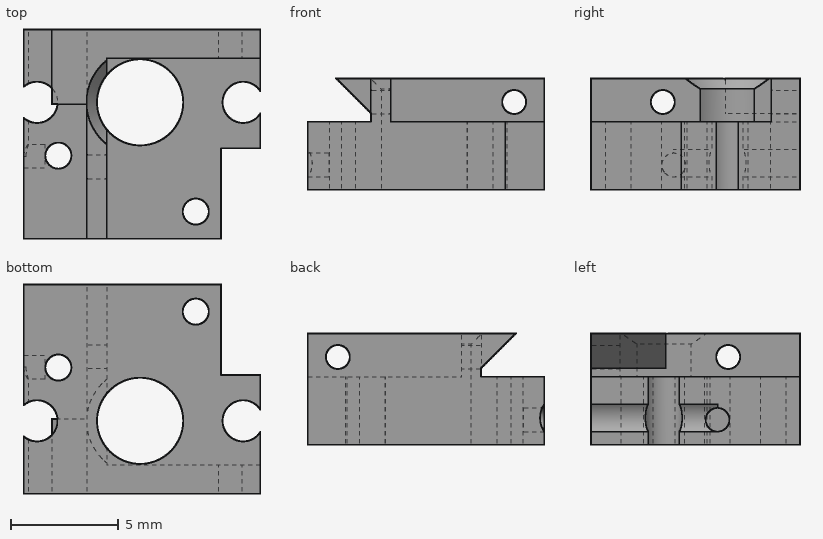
import cadquery as cq
import math

length = 11.03
width = 9.75
height = 5.2
base_height = 3.18

rib_x = 2.95
rib_thickness = 0.93
rear_wall_thickness = 1.35
wedge_reach = 1.62
wedge_front_y = 6.27

notch_x = 9.2
notch_y = 4.21

bore_y = 6.35
main_bore_x = 5.43
main_bore_diameter = 4.0
countersink_width = 0.5
side_bore_diameter = 1.91
side_bore_positions = [0.63, 10.22]
pin_hole_diameter = 1.2
pin_hole_positions = [(1.62, 3.87), (8.02, 1.27)]

cross_hole_diameter = 1.1
cross_hole_z = 4.09
rib_hole_y = 3.35
rear_wall_hole_x = 9.62
blind_hole_y = 3.85
blind_hole_z = 1.17
blind_hole_depth = 0.99

groove_radius = 1.1
groove_opening = 1.29
groove_z = 1.26
groove_start_y = 3.84


def box(x0, y0, z0, x1, y1, z1):
    """Box between two opposite corners."""
    return cq.Workplane("XY").box(x1 - x0, y1 - y0, z1 - z0, centered=False).translate((x0, y0, z0))


def rod(start, direction, diameter, depth):
    """Cylinder from a start point along a direction."""
    solid = cq.Solid.makeCylinder(diameter / 2, depth, cq.Vector(*start), cq.Vector(*direction))
    return cq.Workplane(obj=solid)


def vertical_bore(x, y, diameter):
    """Cutter that runs through the full height."""
    return rod((x, y, 0), (0, 0, 1), diameter, height)


def wedge():
    """Triangular overhang on the -X side of the rib, sloping at 45 degrees."""
    profile = [(rib_x, height), (rib_x - wedge_reach, height), (rib_x, height - wedge_reach)]
    return (
        cq.Workplane("XZ", origin=(0, width, 0))
        .polyline(profile)
        .close()
        .extrude(width - wedge_front_y)
    )


def countersink():
    """45-degree cone where the main bore breaks through the top of the rib."""
    bore_radius = main_bore_diameter / 2
    cone = cq.Solid.makeCone(
        bore_radius,
        bore_radius + countersink_width,
        countersink_width,
        cq.Vector(main_bore_x, bore_y, height - countersink_width),
    )
    return cq.Workplane(obj=cone)


body = box(0, 0, 0, length, width, base_height)
body = body.cut(box(notch_x, 0, 0, length, notch_y, base_height))

body = body.union(box(rib_x, 0, base_height, rib_x + rib_thickness, width, height))
body = body.cut(countersink())

body = body.union(box(rib_x, width - rear_wall_thickness, base_height, length, width, height))
body = body.union(wedge())

body = body.cut(vertical_bore(main_bore_x, bore_y, main_bore_diameter))

for x in side_bore_positions:
    body = body.cut(rod((x, bore_y, 0), (0, 0, 1), side_bore_diameter, base_height))

for x, y in pin_hole_positions:
    body = body.cut(vertical_bore(x, y, pin_hole_diameter))

body = body.cut(rod((rib_x, rib_hole_y, cross_hole_z), (1, 0, 0), cross_hole_diameter, rib_thickness))
body = body.cut(
    rod(
        (rear_wall_hole_x, width - rear_wall_thickness, cross_hole_z),
        (0, 1, 0),
        cross_hole_diameter,
        rear_wall_thickness,
    )
)
body = body.cut(rod((0, blind_hole_y, blind_hole_z), (1, 0, 0), cross_hole_diameter, blind_hole_depth))

groove_axis_x = -math.sqrt(groove_radius**2 - (groove_opening / 2) ** 2)
body = body.cut(
    rod((groove_axis_x, groove_start_y, groove_z), (0, 1, 0), 2 * groove_radius, width - groove_start_y)
)

result = body